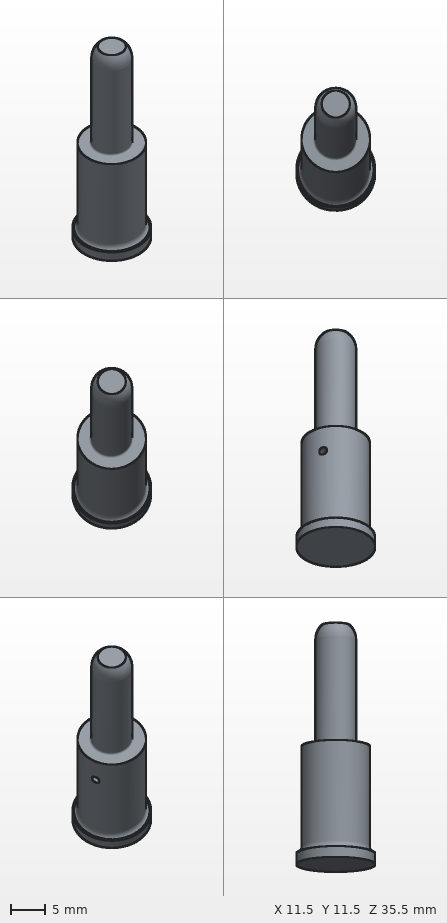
import cadquery as cq
import math

total_height = 35.5
flange_radius = 5.75
flange_rim_height = 1.6
flange_cone_rise = 0.05
body_radius = 5.0
body_top = 17.5
body_fillet_radius = 1.0
body_fillet_sweep = math.radians(60)
pin_radius = 3.0
pin_fillet_radius = 0.3
tip_radius = 3.0
tip_flat_radius = 2.05
hole_diameter = 1.2
hole_drop = 4.0


def fillet_point(angle, fillet_base):
    """Radius and height on the body fillet, at an angle from its top tangent point."""
    radius = body_radius + body_fillet_radius * (1 - math.cos(angle))
    height = fillet_base + body_fillet_radius * (math.sin(body_fillet_sweep) - math.sin(angle))
    return radius, height


def tip_point(radius, tip_center):
    """Radius and height on the spherical tip."""
    return radius, tip_center + math.sqrt(tip_radius**2 - radius**2)


cone_inner_radius = body_radius + body_fillet_radius * (1 - math.cos(body_fillet_sweep))
cone_top = flange_rim_height + flange_cone_rise

tip_center = total_height - math.sqrt(tip_radius**2 - tip_flat_radius**2)
tip_mid_radius = (pin_radius + tip_flat_radius) / 2

pin_fillet_inset = pin_fillet_radius * (1 - math.sqrt(0.5))

profile = (
    cq.Workplane("XZ")
    .lineTo(flange_radius, 0)
    .lineTo(flange_radius, flange_rim_height)
    .lineTo(cone_inner_radius, cone_top)
    .threePointArc(fillet_point(body_fillet_sweep / 2, cone_top), fillet_point(0, cone_top))
    .lineTo(body_radius, body_top)
    .lineTo(pin_radius + pin_fillet_radius, body_top)
    .threePointArc(
        (pin_radius + pin_fillet_inset, body_top + pin_fillet_inset),
        (pin_radius, body_top + pin_fillet_radius),
    )
    .lineTo(pin_radius, tip_center)
    .threePointArc(tip_point(tip_mid_radius, tip_center), (tip_flat_radius, total_height))
    .lineTo(0, total_height)
    .close()
)

turned_pin = profile.revolve(360, (0, 0, 0), (0, 1, 0))

hole_height = body_top - hole_drop
cross_hole = (
    cq.Workplane("XZ", origin=(0, 0, hole_height))
    .circle(hole_diameter / 2)
    .extrude(-flange_radius)
)

result = turned_pin.cut(cross_hole)